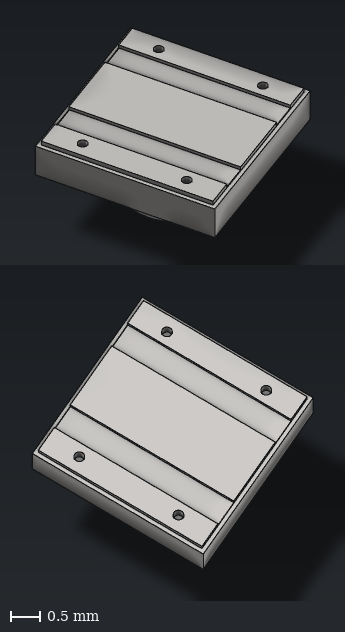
import cadquery as cq

body_side = 3.45
body_height = 0.65

contact_side = 3.298
sheet_thickness = 0.02
strip_thickness = 0.065
outer_strip_width = 0.5
center_strip_width = 1.3

hole_diameter = 0.18
hole_depth = 0.207
hole_spacing_x = 2.0
hole_spacing_y = 2.75

lens_radius = 1.265
blend_radius = 0.145

sheet_top = body_height + sheet_thickness
strip_top = sheet_top + strip_thickness


def slab(size_x, size_y, height, base_z, center_y=0.0):
    """Rectangular block centred on X, standing on base_z."""
    return (
        cq.Workplane("XY", origin=(0, center_y, base_z))
        .box(size_x, size_y, height, centered=(True, True, False))
    )


def make_contacts():
    """Base sheet, centre strip, and one strip along each Y edge."""
    contacts = slab(contact_side, contact_side, sheet_thickness, body_height)
    contacts = contacts.union(slab(contact_side, center_strip_width, strip_thickness, sheet_top))
    outer_strip_y = (contact_side - outer_strip_width) / 2
    for strip_y in (-outer_strip_y, outer_strip_y):
        contacts = contacts.union(
            slab(contact_side, outer_strip_width, strip_thickness, sheet_top, strip_y)
        )
    return contacts


def make_holes():
    """Cutters for the four holes, from the strip tops down."""
    return (
        cq.Workplane("XY", origin=(0, 0, strip_top))
        .rarray(hole_spacing_x, hole_spacing_y, 2, 2)
        .circle(hole_diameter / 2)
        .extrude(-hole_depth)
    )


def make_lens():
    """Half ball hanging from the underside of the body."""
    ball = cq.Workplane("XY").sphere(lens_radius)
    lower_half = slab(body_side, body_side, lens_radius, -lens_radius)
    return ball.intersect(lower_half)


body = slab(body_side, body_side, body_height, 0).union(make_lens())
body = body.edges("%CIRCLE").edges(">Z").fillet(blend_radius)
result = body.union(make_contacts()).cut(make_holes())